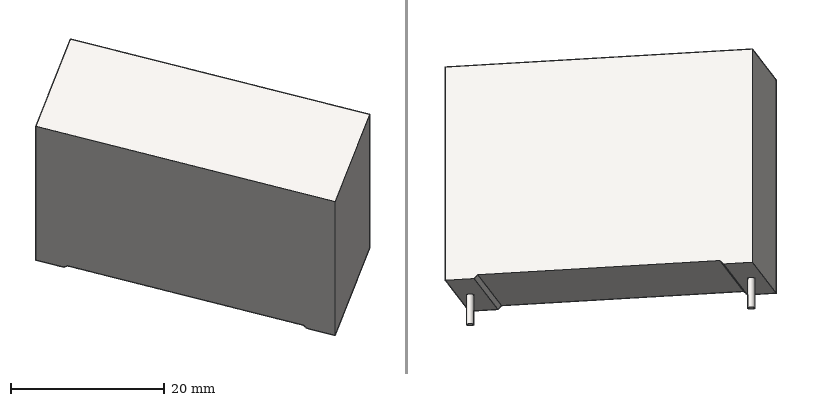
import cadquery as cq

body_length = 41.0
body_width = 15.0
overall_height = 33.0
pin_length = 4.0
body_height = overall_height - pin_length

foot_height = 0.5
foot_length = 3.85

pin_diameter = 1.0
pin_spacing = 37.5
pin_embed = 0.8


def make_body():
    """Block with the feet standing on Z = 0, extruded across its width."""
    half_length = body_length / 2
    slope_bottom = half_length - foot_length
    slope_top = slope_bottom - foot_height
    outline = [
        (-half_length, 0),
        (-slope_bottom, 0),
        (-slope_top, foot_height),
        (slope_top, foot_height),
        (slope_bottom, 0),
        (half_length, 0),
        (half_length, body_height),
        (-half_length, body_height),
    ]
    return cq.Workplane("XZ").polyline(outline).close().extrude(body_width / 2, both=True)


def make_pins():
    """Two round pins in the middle of the width, hanging below the feet."""
    return (
        cq.Workplane("XY")
        .workplane(offset=-pin_length)
        .pushPoints([(-pin_spacing / 2, 0), (pin_spacing / 2, 0)])
        .circle(pin_diameter / 2)
        .extrude(pin_length + pin_embed)
    )


result = make_body().union(make_pins())